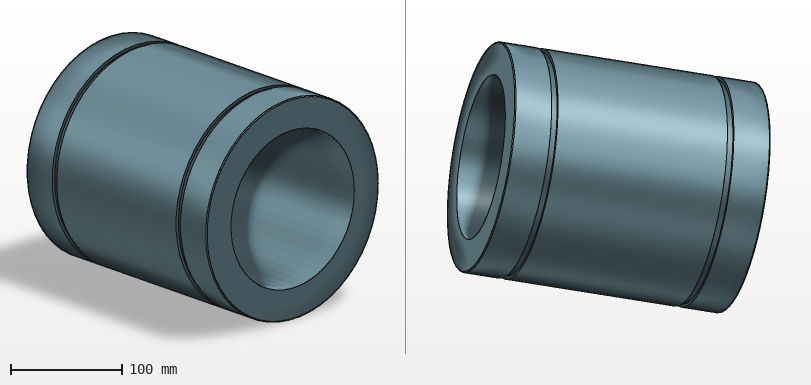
import cadquery as cq

length = 240.0
outer_diameter = 210.0
bore_diameter = 150.0
groove_diameter = 204.0
groove_width = 6.0
groove_outer_span = 171.0
edge_chamfer = 1.0


def cylinder_along_x(diameter, start_x, cylinder_length):
    """Solid cylinder on the X axis, growing towards +X from start_x."""
    return (
        cq.Workplane("YZ", origin=(start_x, 0, 0))
        .circle(diameter / 2)
        .extrude(cylinder_length)
    )


def groove_ring(center_x):
    """Ring of material removed by one outer groove."""
    start_x = center_x - groove_width / 2
    outside = cylinder_along_x(outer_diameter, start_x, groove_width)
    return outside.cut(cylinder_along_x(groove_diameter, start_x, groove_width))


sleeve = cylinder_along_x(outer_diameter, -length / 2, length)
sleeve = sleeve.faces("<X or >X").edges().chamfer(edge_chamfer)

sleeve = sleeve.cut(cylinder_along_x(bore_diameter, -length / 2, length))

groove_center = (groove_outer_span - groove_width) / 2
for side in (-1, 1):
    sleeve = sleeve.cut(groove_ring(side * groove_center))

result = sleeve